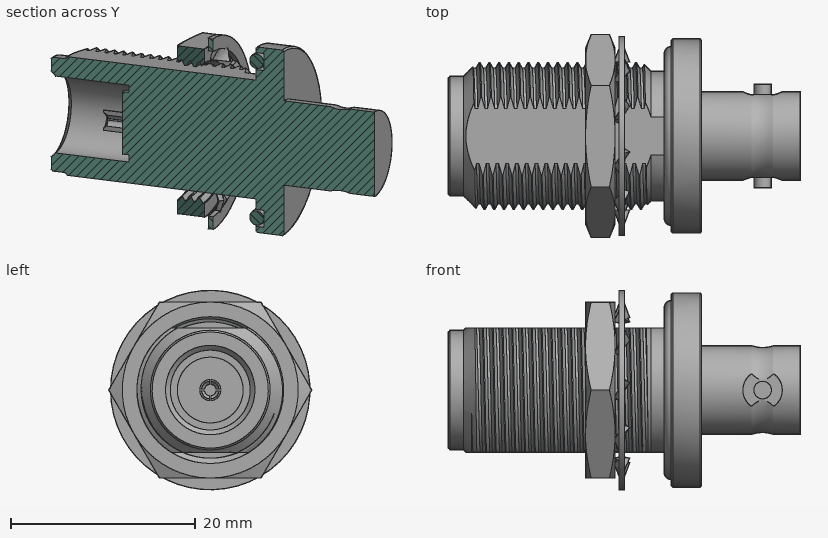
import cadquery as cq
import math


TOTAL_LENGTH = 38.1
RIM_DIAMETER = 12.95
RIM_LENGTH = 1.65
RIM_CHAMFER = 0.2
THREAD_DIAMETER = 15.9
THREAD_ROOT_DIAMETER = 14.75
THREAD_TURNS = 18
THREAD_TURNS_LENGTH = 19.05
THREAD_PITCH = THREAD_TURNS_LENGTH / THREAD_TURNS
THREAD_CREST_WIDTH = 0.1
THREAD_FLANK_ANGLE = 30.0
THREAD_FIRST_CREST_X = 3.4
RIDGE_OVERLAP = 0.1
NECK_DIAMETER = 14.1
NECK_START_X = 21.95
ACROSS_BODY_FLATS = 13.5
FLANGE_DIAMETER = 21.07
FLANGE_START_X = 24.1
FLANGE_END_X = 27.45
FLANGE_CHAMFER = 0.2
BARREL_DIAMETER = 9.6

PIN_X = 34.02
PIN_DIAMETER = 1.9
PIN_SPAN = 11.25
SPOT_FACE_DIAMETER = 4.25
ACROSS_SPOT_FACES = 8.95
PIN_GROOVE_WIDTH = 2.32
PIN_GROOVE_DEPTH = 0.2

SOCKET_DIAMETER = 8.65
SOCKET_MOUTH_DIAMETER = 9.68
SOCKET_DEPTH = 9.15
INSULATOR_DIAMETER = 7.12
INSULATOR_HEIGHT = 0.75
CONTACT_DIAMETER = 2.3
CONTACT_HEIGHT = 2.3
CONTACT_HOLE_DIAMETER = 1.25
CONTACT_MOUTH_DIAMETER = 1.9
CONTACT_SLOT_WIDTH = 0.2

SEAL_GROOVE_OUTER_DIAMETER = 19.62
SEAL_GROOVE_INNER_DIAMETER = 15.9
SEAL_SECTION_DIAMETER = 1.68
SEAL_PROUD = 0.75

NUT_START_X = 14.85
NUT_END_X = 18.05
NUT_ACROSS_FLATS = 19.05
NUT_CHAMFER_LENGTH = 0.6

WASHER_START_X = 18.48
WASHER_THICKNESS = 0.6
WASHER_DIAMETER = 21.6
WASHER_RING_INNER_DIAMETER = 18.65
TOOTH_COUNT = 10
TOOTH_WIDTH = 2.3
TOOTH_THICKNESS = 0.57
TOOTH_ROOT_RADIUS = 9.52
TOOTH_TIP_RADIUS = 8.0
TOOTH_TWIST = 33.0


def cylinder(diameter, start_x, end_x):
    """A cylinder on the X axis."""
    return cq.Workplane("YZ", origin=(start_x, 0, 0)).circle(diameter / 2).extrude(end_x - start_x)


def ring(outer_diameter, inner_diameter, start_x, end_x):
    """A tube on the X axis."""
    return cylinder(outer_diameter, start_x, end_x).cut(cylinder(inner_diameter, start_x, end_x))


def revolved(points):
    """A closed (x, radius) outline turned about the X axis."""
    return cq.Workplane("XZ").polyline(points).close().revolve(360, (0, 0, 0), (1, 0, 0))


def front_envelope(thread_diameter):
    """Rim, 45 degree lead-in, straight stretch, 45 degree run-out and neck, up to the flange face."""
    rim_radius = RIM_DIAMETER / 2
    thread_radius = thread_diameter / 2
    neck_radius = NECK_DIAMETER / 2
    return revolved([
        (0, 0),
        (0, rim_radius - RIM_CHAMFER),
        (RIM_CHAMFER, rim_radius),
        (RIM_LENGTH, rim_radius),
        (RIM_LENGTH + thread_radius - rim_radius, thread_radius),
        (NECK_START_X - thread_radius + neck_radius, thread_radius),
        (NECK_START_X, neck_radius),
        (FLANGE_START_X, neck_radius),
        (FLANGE_START_X, 0),
    ])


def thread_turn():
    """One right-handed turn of the thread ridge, parted at +Z where the body flats remove it."""
    root_radius = THREAD_ROOT_DIAMETER / 2
    crest_radius = THREAD_DIAMETER / 2
    base_radius = root_radius - RIDGE_OVERLAP
    crest_half = THREAD_CREST_WIDTH / 2
    base_half = crest_half + (crest_radius - base_radius) * math.tan(math.radians(THREAD_FLANK_ANGLE))
    helix = cq.Wire.makeHelix(THREAD_PITCH, THREAD_PITCH, base_radius)
    turn = (
        cq.Workplane("XZ")
        .polyline([
            (base_radius, -base_half),
            (crest_radius, -crest_half),
            (crest_radius, crest_half),
            (base_radius, base_half),
        ])
        .close()
        .sweep(cq.Workplane(helix), isFrenet=True)
    )
    return turn.rotate((0, 0, 0), (1, 1, 1), 120).rotate((0, 0, 0), (1, 0, 0), 90)


def thread_turns(turn, start_x, end_x):
    """Copies of one turn, in step with the thread, that cover the stretch from start_x to end_x."""
    first_x = THREAD_FIRST_CREST_X + THREAD_PITCH / 4
    first = math.floor((start_x - first_x) / THREAD_PITCH) - 1
    last = math.ceil((end_x - first_x) / THREAD_PITCH)
    copies = []
    for index in range(first, last + 1):
        copies += turn.translate((first_x + index * THREAD_PITCH, 0, 0)).solids().vals()
    return copies


def between_flats():
    """The slab between the two flats of the threaded front, wider than the connector."""
    return cq.Workplane("XY").box(2 * TOTAL_LENGTH, 2 * FLANGE_DIAMETER, ACROSS_BODY_FLATS)


def threaded_front():
    flats = between_flats()
    core = cylinder(THREAD_ROOT_DIAMETER, 0, FLANGE_START_X).rotate((0, 0, 0), (1, 0, 0), 90)
    ridges = thread_turns(thread_turn().intersect(flats), RIM_LENGTH, NECK_START_X)
    rod = core.intersect(flats).val().fuse(*ridges)
    return front_envelope(THREAD_DIAMETER + THREAD_PITCH).intersect(cq.Workplane(rod))


def flange():
    """Disc with a seal groove in its front face, and a flatted land inside the groove, level with the seal."""
    disc = cylinder(FLANGE_DIAMETER, FLANGE_START_X, FLANGE_END_X).edges().chamfer(FLANGE_CHAMFER)
    groove_floor_x = FLANGE_START_X + SEAL_SECTION_DIAMETER - SEAL_PROUD
    seal_groove = ring(
        SEAL_GROOVE_OUTER_DIAMETER, SEAL_GROOVE_INNER_DIAMETER, FLANGE_START_X, groove_floor_x
    )
    land = cylinder(SEAL_GROOVE_INNER_DIAMETER, FLANGE_START_X - SEAL_PROUD, FLANGE_START_X)
    return disc.cut(seal_groove).union(land.intersect(between_flats()))


def bayonet_barrel():
    barrel_radius = BARREL_DIAMETER / 2
    barrel = cylinder(BARREL_DIAMETER, FLANGE_END_X, TOTAL_LENGTH)
    groove = (
        cq.Workplane("XY")
        .moveTo(PIN_X - PIN_GROOVE_WIDTH / 2, barrel_radius)
        .threePointArc(
            (PIN_X, barrel_radius - PIN_GROOVE_DEPTH),
            (PIN_X + PIN_GROOVE_WIDTH / 2, barrel_radius),
        )
        .lineTo(PIN_X + PIN_GROOVE_WIDTH / 2, barrel_radius + 0.4)
        .lineTo(PIN_X - PIN_GROOVE_WIDTH / 2, barrel_radius + 0.4)
        .close()
        .revolve(360, (0, 0, 0), (1, 0, 0))
    )
    barrel = barrel.cut(groove)
    across_pins = cq.Workplane("XZ", origin=(PIN_X, 0, 0))
    outside_spot_faces = (
        across_pins.circle(SPOT_FACE_DIAMETER / 2)
        .extrude(PIN_SPAN / 2, both=True)
        .cut(cq.Workplane("XY").box(4 * TOTAL_LENGTH, ACROSS_SPOT_FACES, BARREL_DIAMETER))
    )
    pins = across_pins.circle(PIN_DIAMETER / 2).extrude(PIN_SPAN / 2, both=True)
    return barrel.cut(outside_spot_faces).union(pins)


def socket():
    """The hollow of the front end, around the insulator and the slotted contact."""
    mouth_chamfer = (SOCKET_MOUTH_DIAMETER - SOCKET_DIAMETER) / 2
    hollow = revolved([
        (0, 0),
        (0, SOCKET_MOUTH_DIAMETER / 2),
        (mouth_chamfer, SOCKET_DIAMETER / 2),
        (SOCKET_DEPTH, SOCKET_DIAMETER / 2),
        (SOCKET_DEPTH, 0),
    ])
    insulator_face_x = SOCKET_DEPTH - INSULATOR_HEIGHT
    contact_face_x = insulator_face_x - CONTACT_HEIGHT
    hole_radius = CONTACT_HOLE_DIAMETER / 2
    mouth_radius = CONTACT_MOUTH_DIAMETER / 2
    insulator = cylinder(INSULATOR_DIAMETER, insulator_face_x, SOCKET_DEPTH)
    contact = cylinder(CONTACT_DIAMETER, contact_face_x, insulator_face_x)
    contact_hole = revolved([
        (contact_face_x, 0),
        (contact_face_x, mouth_radius),
        (contact_face_x + mouth_radius - hole_radius, hole_radius),
        (insulator_face_x, hole_radius),
        (insulator_face_x, 0),
    ])
    slot = cq.Workplane("XY", origin=((contact_face_x + insulator_face_x) / 2, 0, 0)).box(
        CONTACT_HEIGHT, CONTACT_SLOT_WIDTH, CONTACT_DIAMETER
    )
    contact = contact.cut(contact_hole).cut(slot).cut(slot.rotate((0, 0, 0), (1, 0, 0), 90))
    return hollow.cut(insulator).cut(contact)


def make_connector_body():
    return threaded_front().union(flange()).union(bayonet_barrel()).cut(socket())


def make_seal_ring():
    mean_radius = (SEAL_GROOVE_OUTER_DIAMETER + SEAL_GROOVE_INNER_DIAMETER) / 4
    section_radius = SEAL_SECTION_DIAMETER / 2
    centre_x = FLANGE_START_X - SEAL_PROUD + section_radius
    return (
        cq.Workplane("XY")
        .center(centre_x, mean_radius)
        .circle(section_radius)
        .revolve(360, (0, -mean_radius, 0), (1, -mean_radius, 0))
    )


def make_nut():
    """Hexagon with corners at +Y and -Y, chamfered at both ends down to the inscribed circle."""
    across_corners = NUT_ACROSS_FLATS / math.cos(math.radians(30))
    flat_radius = NUT_ACROSS_FLATS / 2
    corner_radius = across_corners / 2
    hexagon = (
        cq.Workplane("YZ", origin=(NUT_START_X, 0, 0))
        .polygon(6, across_corners)
        .extrude(NUT_END_X - NUT_START_X)
    )
    chamfered_blank = revolved([
        (NUT_START_X, 0),
        (NUT_START_X, flat_radius),
        (NUT_START_X + NUT_CHAMFER_LENGTH, corner_radius),
        (NUT_END_X - NUT_CHAMFER_LENGTH, corner_radius),
        (NUT_END_X, flat_radius),
        (NUT_END_X, 0),
    ])
    bore_radius = THREAD_ROOT_DIAMETER / 2
    mouth_radius = THREAD_DIAMETER / 2
    mouth_chamfer = mouth_radius - bore_radius
    bore = revolved([
        (NUT_START_X, 0),
        (NUT_START_X, mouth_radius),
        (NUT_START_X + mouth_chamfer, bore_radius),
        (NUT_END_X - mouth_chamfer, bore_radius),
        (NUT_END_X, mouth_radius),
        (NUT_END_X, 0),
    ])
    smooth_nut = hexagon.intersect(chamfered_blank).cut(bore)
    thread = thread_turns(thread_turn(), NUT_START_X, NUT_END_X)
    return cq.Workplane(smooth_nut.val().cut(*thread))


def washer_tooth():
    """Inward tooth on the -Y side that twists about its own length towards its tip."""
    length = TOOTH_ROOT_RADIUS - TOOTH_TIP_RADIUS
    middle_x = WASHER_START_X + WASHER_THICKNESS / 2
    return (
        cq.Workplane("XZ", origin=(middle_x, -TOOTH_TIP_RADIUS, 0))
        .transformed(rotate=(0, 0, -TOOTH_TWIST))
        .rect(TOOTH_THICKNESS, TOOTH_WIDTH)
        .transformed(rotate=(0, 0, TOOTH_TWIST), offset=(0, 0, length))
        .rect(TOOTH_THICKNESS, TOOTH_WIDTH)
        .loft(ruled=True)
    )


def make_lock_washer():
    washer = ring(
        WASHER_DIAMETER,
        WASHER_RING_INNER_DIAMETER,
        WASHER_START_X,
        WASHER_START_X + WASHER_THICKNESS,
    )
    tooth = washer_tooth()
    for index in range(TOOTH_COUNT):
        washer = washer.union(tooth.rotate((0, 0, 0), (1, 0, 0), index * 360 / TOOTH_COUNT))
    return washer.cut(cylinder(WASHER_DIAMETER, NUT_START_X, NUT_END_X))


connector_body = make_connector_body()
seal_ring = make_seal_ring()
nut = make_nut()
lock_washer = make_lock_washer()

result = cq.Compound.makeCompound([
    connector_body.val(),
    seal_ring.val(),
    nut.val(),
    lock_washer.val(),
])